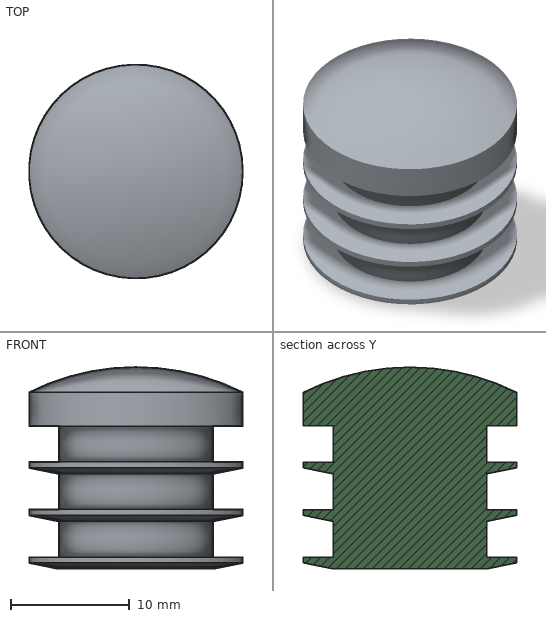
import cadquery as cq
import math

outer_diameter = 18.0
stem_diameter = 13.0
total_height = 17.0
head_underside = 12.0
dome_radius = 20.0
fin_count = 3
fin_pitch = 4.0
fin_rim_height = 0.5
fin_taper_height = 0.5

outer_radius = outer_diameter / 2
stem_radius = stem_diameter / 2
dome_rise = dome_radius - math.sqrt(dome_radius**2 - outer_radius**2)
head_rim_top = total_height - dome_rise


def make_head():
    """Cylindrical cap with a spherical dome, its centre on the Z axis."""
    dome_center = total_height - dome_radius
    mid_angle = math.asin(outer_radius / dome_radius) / 2
    dome_midpoint = (
        dome_radius * math.sin(mid_angle),
        dome_center + dome_radius * math.cos(mid_angle),
    )
    return (
        cq.Workplane("XZ")
        .moveTo(0, head_underside)
        .lineTo(outer_radius, head_underside)
        .lineTo(outer_radius, head_rim_top)
        .threePointArc(dome_midpoint, (0, total_height))
        .close()
        .revolve(360, (0, 0), (0, 1))
    )


def make_fin(bottom):
    """Thin disc with a flat top and a cone leading in from the stem."""
    rim_bottom = bottom + fin_taper_height
    rim_top = rim_bottom + fin_rim_height
    return (
        cq.Workplane("XZ")
        .moveTo(0, bottom)
        .lineTo(stem_radius, bottom)
        .lineTo(outer_radius, rim_bottom)
        .lineTo(outer_radius, rim_top)
        .lineTo(0, rim_top)
        .close()
        .revolve(360, (0, 0), (0, 1))
    )


stem = cq.Workplane("XY").circle(stem_radius).extrude(head_underside)

result = stem.union(make_head())
for fin_index in range(fin_count):
    result = result.union(make_fin(fin_index * fin_pitch))